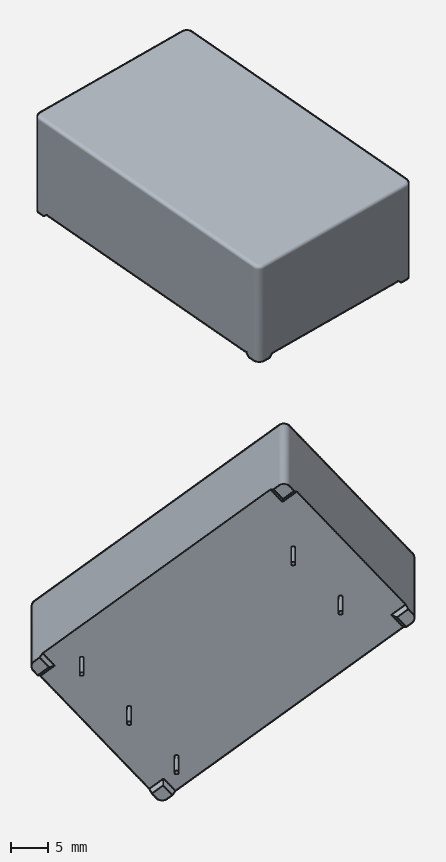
import cadquery as cq

LENGTH = 45.0
WIDTH = 28.0
TOTAL_HEIGHT = 20.1
HOUSING_HEIGHT = 16.5
CORNER_RADIUS = 1.05
TOP_EDGE_RADIUS = 0.5

FOOT_LENGTH = 2.0
FOOT_HEIGHT = 0.55
FOOT_SLOPE = FOOT_HEIGHT

PIN_DIAMETER = 0.6
PIN_LENGTH = TOTAL_HEIGHT - HOUSING_HEIGHT + FOOT_HEIGHT
PIN_PITCH = 5.0
PIN_ROW_X = 16.45
PIN_STEPS = {-1: (-1, 1), 1: (-2, 0, 2)}


def make_channel(plane, span, run):
    """Trapezoidal channel cutter, centred on the plane, with its wide side at Z = 0."""
    half_mouth = span / 2 - FOOT_LENGTH
    half_floor = half_mouth - FOOT_SLOPE
    return (
        cq.Workplane(plane)
        .polyline([
            (-half_mouth, 0),
            (half_mouth, 0),
            (half_floor, FOOT_HEIGHT),
            (-half_floor, FOOT_HEIGHT),
        ])
        .close()
        .extrude(run / 2, both=True)
    )


def make_housing():
    """Rounded block standing on four corner feet, with the feet resting on Z = 0."""
    block = (
        cq.Workplane("XY")
        .box(LENGTH, WIDTH, HOUSING_HEIGHT, centered=(True, True, False))
        .edges("|Z")
        .fillet(CORNER_RADIUS)
        .faces(">Z")
        .edges()
        .fillet(TOP_EDGE_RADIUS)
    )
    return (
        block
        .cut(make_channel("XZ", LENGTH, WIDTH))
        .cut(make_channel("YZ", WIDTH, LENGTH))
    )


def make_pin(x, y):
    """Round pin hanging from the channel floor."""
    return (
        cq.Workplane("XY", origin=(x, y, FOOT_HEIGHT))
        .circle(PIN_DIAMETER / 2)
        .extrude(-PIN_LENGTH)
    )


housing = make_housing()
pins = [
    make_pin(side * PIN_ROW_X, step * PIN_PITCH)
    for side, steps in PIN_STEPS.items()
    for step in steps
]

result = cq.Compound.makeCompound([housing.val(), *[pin.val() for pin in pins]])